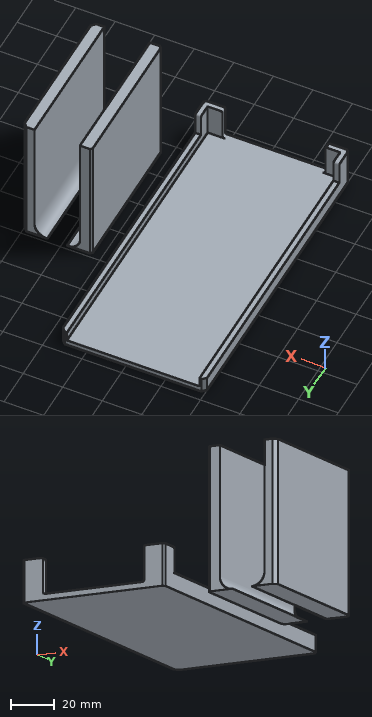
import cadquery as cq

tray_width = 73.0
tray_length = 150.0
floor_thickness = 3.0
wall_thickness = 3.0
side_wall_height = 8.0
corner_height = 20.0
corner_depth = 10.0
front_lip_width = 10.5
front_opening_width = tray_width - 2 * front_lip_width
opening_fillet = 1.0
corner_top_fillet = 1.0
front_chamfer = 1.0
back_chamfer = 2.0

plate_thickness = 6.0
plate_length = 73.0
plate_height = 68.0
plate_front_y = 20.0
cove_radius = 6.5
bracket_foot_width = plate_thickness + cove_radius
left_bracket_x = 85.0
right_bracket_x = 120.0
left_bracket_chamfer = 1.0
right_bracket_chamfer = 2.0


def block(width, length, height, x=0.0, y=0.0, z=0.0):
    """Box with its lowest corner at (x, y, z)."""
    return cq.Workplane("XY").box(width, length, height, centered=False).translate((x, y, z))


def front_opening():
    """Cutter through the front lip, rounded at its lower corners and flared at its top corners."""
    left = front_lip_width
    right = left + front_opening_width
    r = opening_fillet
    return (
        cq.Workplane("XZ")
        .moveTo(left + r, floor_thickness)
        .lineTo(right - r, floor_thickness)
        .radiusArc((right, floor_thickness + r), -r)
        .lineTo(right, corner_height - r)
        .radiusArc((right + r, corner_height), r)
        .lineTo(left - r, corner_height)
        .radiusArc((left, corner_height - r), r)
        .lineTo(left, floor_thickness + r)
        .radiusArc((left + r, floor_thickness), -r)
        .close()
        .extrude(-wall_thickness)
    )


def make_tray():
    body = block(tray_width, tray_length, side_wall_height)
    front_block = block(tray_width, corner_depth, corner_height)
    front_block = front_block.edges(">Z and >Y").fillet(corner_top_fillet)
    body = body.union(front_block)
    body = body.edges("|Z and <Y").chamfer(front_chamfer)
    body = body.edges("|Z and >Y").chamfer(back_chamfer)
    interior = block(
        tray_width - 2 * wall_thickness,
        tray_length - wall_thickness,
        corner_height,
        x=wall_thickness,
        y=wall_thickness,
        z=floor_thickness,
    )
    return body.cut(interior).cut(front_opening())


def make_bracket(outer_x, inward, corner_chamfer):
    """Upright plate with its outer face at outer_x and its foot pointing along inward (+1 or -1).

    The cove is tangent to the plate and thins the foot to a sharp tip on the ground plane.
    """
    plate_x = outer_x + inward * plate_thickness
    foot_x = outer_x + inward * bracket_foot_width
    body = (
        cq.Workplane("XZ", origin=(0, plate_front_y, 0))
        .moveTo(outer_x, 0)
        .lineTo(foot_x, 0)
        .radiusArc((plate_x, cove_radius), inward * cove_radius)
        .lineTo(plate_x, plate_height)
        .lineTo(outer_x, plate_height)
        .close()
        .extrude(-plate_length)
    )
    outer_side = "<X" if inward > 0 else ">X"
    return body.edges(f"|Z and {outer_side}").chamfer(corner_chamfer)


tray = make_tray()
left_bracket = make_bracket(left_bracket_x, 1, left_bracket_chamfer)
right_bracket = make_bracket(right_bracket_x, -1, right_bracket_chamfer)

result = cq.Compound.makeCompound([tray.val(), left_bracket.val(), right_bracket.val()])